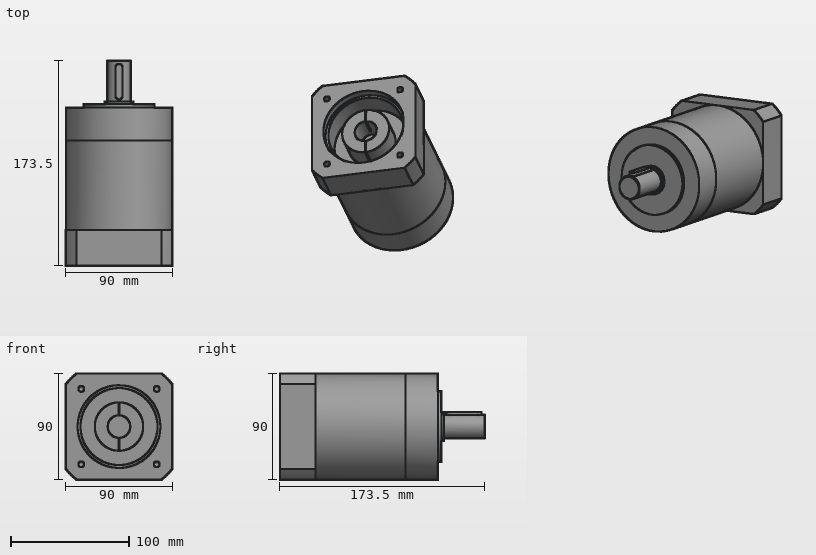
import cadquery as cq
import math

LENGTH = 173.5
FRONT = -LENGTH / 2
TIP = LENGTH / 2

FLANGE_SIZE = 90.0
FLANGE_CORNER_D = 115.0
FLANGE_LENGTH = 30.0
PILOT_D = 70.0
PILOT_DEPTH = 7.8
CAVITY_D = 65.0
SCREW_HOLE_D = 4.9
SCREW_SPACING = 63.7
SCREW_HOLE_DEPTH = 15.1
DRILL_POINT_ANGLE = 118.0

HUB_D = 41.0
HUB_BORE_D = 19.0
HUB_SETBACK = 7.5
SLIT_WIDTH = 1.0
SLIT_DEPTH = 17.4

HOUSING_D = FLANGE_SIZE
OUTPUT_HOUSING_LENGTH = 27.5
BOSS_D = 60.0
BOSS_LENGTH = 3.0

SHAFT_D = 20.1
SHAFT_LENGTH = 34.9
SHAFT_CHAMFER = 0.5
SHOULDER_D = 24.5
SHOULDER_LENGTH = 2.0

KEY_WIDTH = 6.0
KEY_LENGTH = 30.0
KEY_HEIGHT = KEY_WIDTH
KEY_TOP = 12.5
KEY_SETBACK = 3.0

HUB_FACE = FRONT + HUB_SETBACK
FLANGE_BACK = FRONT + FLANGE_LENGTH
SHOULDER_FACE = TIP - SHAFT_LENGTH
BOSS_FACE = SHOULDER_FACE - SHOULDER_LENGTH
HOUSING_END = BOSS_FACE - BOSS_LENGTH
HOUSING_JOINT = HOUSING_END - OUTPUT_HOUSING_LENGTH


def plane_at(y):
    """Workplane across the axis at y; solids extruded from it grow toward +Y."""
    return cq.Workplane(cq.Plane(origin=(0, y, 0), xDir=(1, 0, 0), normal=(0, 1, 0)))


def cylinder(diameter, y_start, y_end):
    return plane_at(y_start).circle(diameter / 2).extrude(y_end - y_start)


def make_screw_holes():
    """Four blind holes in the flange face, each ending in a drill point."""
    radius = SCREW_HOLE_D / 2
    point_length = radius / math.tan(math.radians(DRILL_POINT_ANGLE / 2))
    hole = (
        cq.Workplane("XY")
        .polyline([
            (0, FRONT),
            (radius, FRONT),
            (radius, FRONT + SCREW_HOLE_DEPTH),
            (0, FRONT + SCREW_HOLE_DEPTH + point_length),
        ])
        .close()
        .revolve(360, (0, 0), (0, 1))
    )
    offset = SCREW_SPACING / 2
    return [hole.translate((x, 0, z)) for x in (-offset, offset) for z in (-offset, offset)]


def make_motor_flange():
    flange = plane_at(FRONT).rect(FLANGE_SIZE, FLANGE_SIZE).extrude(FLANGE_LENGTH)
    flange = flange.intersect(cylinder(FLANGE_CORNER_D, FRONT, FLANGE_BACK))
    flange = flange.cut(cylinder(PILOT_D, FRONT, FRONT + PILOT_DEPTH))
    flange = flange.cut(cylinder(CAVITY_D, FRONT, FLANGE_BACK))
    for hole in make_screw_holes():
        flange = flange.cut(hole)
    return flange


def make_clamp_hub():
    """Ring standing on the gear housing, split part of the way down above and below its bore."""
    hub = cylinder(HUB_D, HUB_FACE, FLANGE_BACK)
    hub = hub.cut(cylinder(HUB_BORE_D, HUB_FACE, FLANGE_BACK))
    slit = plane_at(HUB_FACE).rect(SLIT_WIDTH, HUB_D).extrude(SLIT_DEPTH)
    return hub.cut(slit)


def make_gear_housing():
    return cylinder(HOUSING_D, FLANGE_BACK, HOUSING_JOINT)


def make_output_housing():
    housing = cylinder(HOUSING_D, HOUSING_JOINT, HOUSING_END)
    return housing.union(cylinder(BOSS_D, HOUSING_END, BOSS_FACE))


def make_key():
    """Round-ended key, its lower part sunk in the shaft."""
    return (
        cq.Workplane("XY", origin=(0, TIP - KEY_SETBACK - KEY_LENGTH / 2, KEY_TOP - KEY_HEIGHT))
        .slot2D(KEY_LENGTH, KEY_WIDTH, 90)
        .extrude(KEY_HEIGHT)
    )


def make_output_shaft(key):
    shaft = cylinder(SHAFT_D, SHOULDER_FACE, TIP).faces(">Y").chamfer(SHAFT_CHAMFER)
    shaft = shaft.union(cylinder(SHOULDER_D, BOSS_FACE, SHOULDER_FACE))
    return shaft.cut(key)


motor_flange = make_motor_flange()
clamp_hub = make_clamp_hub()
gear_housing = make_gear_housing()
output_housing = make_output_housing()
key = make_key()
output_shaft = make_output_shaft(key)

result = cq.Compound.makeCompound([
    motor_flange.val(),
    clamp_hub.val(),
    gear_housing.val(),
    output_housing.val(),
    output_shaft.val(),
    key.val(),
])